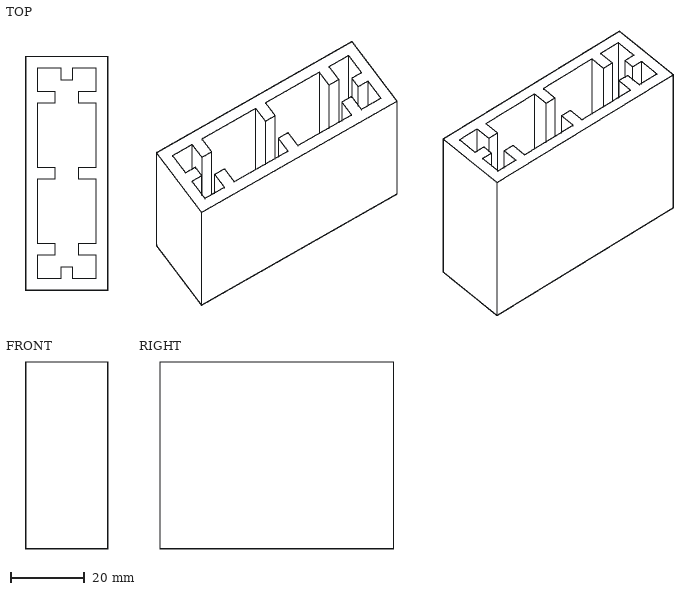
import cadquery as cq

width = 22.35
length = 63.5
height = 50.8

wall = 3.175

cavity_width = width - 2 * wall
cavity_length = length - 2 * wall
cavity_depth = height - wall

channel_width = 2 * wall
side_rib_length = (cavity_width - channel_width) / 2
side_rib_x = (channel_width + side_rib_length) / 2
end_gap = 2 * wall
outer_rib_y = cavity_length / 2 - end_gap - wall / 2

end_rib_length = wall
end_rib_y = (cavity_length - end_rib_length) / 2


def box_from_floor(size_x, size_y, x=0, y=0):
    """Upright box from the floor's upper face to the top rim."""
    box = cq.Workplane("XY").box(size_x, size_y, cavity_depth, centered=(True, True, False))
    return box.translate((x, y, wall))


def make_cavity():
    """Cavity volume with the full-depth ribs left standing."""
    cavity = box_from_floor(cavity_width, cavity_length)
    for side in (-1, 1):
        for rib_y in (-outer_rib_y, 0, outer_rib_y):
            cavity = cavity.cut(box_from_floor(side_rib_length, wall, side * side_rib_x, rib_y))
        cavity = cavity.cut(box_from_floor(wall, end_rib_length, 0, side * end_rib_y))
    return cavity


block = cq.Workplane("XY").box(width, length, height, centered=(True, True, False))
result = block.cut(make_cavity())